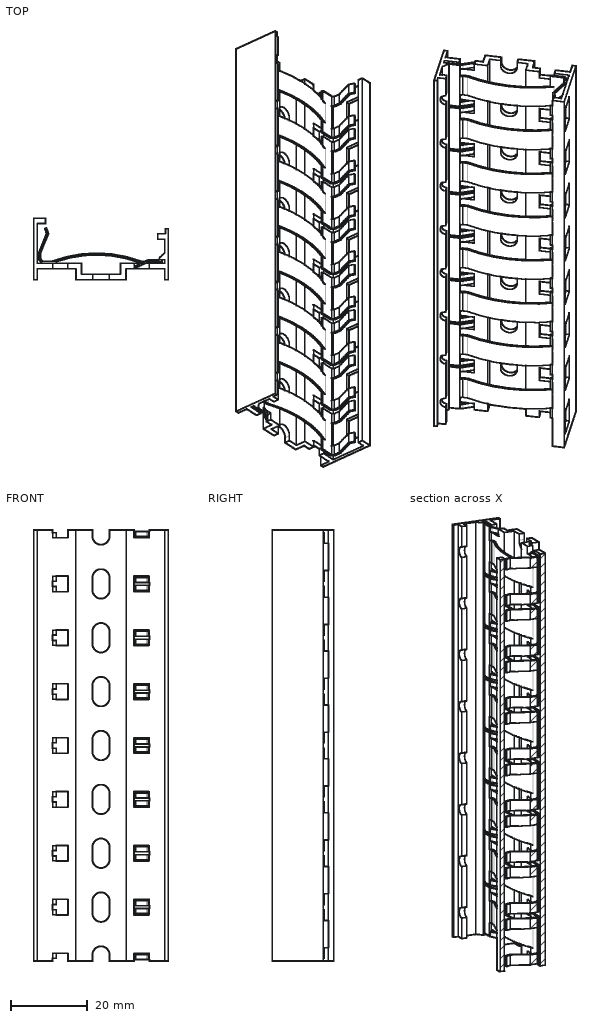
import cadquery as cq
import math

LENGTH = 112.0
WIDTH = 35.0
DEPTH = 16.0
PITCH = 14.0
BAYS = round(LENGTH / PITCH)
HALF_WIDTH = WIDTH / 2

SIDE_WALL = 1.0
WEB = 1.5
WEB_BOTTOM = 2.85
WEB_TOP = WEB_BOTTOM + WEB
CHANNEL_OUTER_HALF = 6.55
CHANNEL_INNER_HALF = CHANNEL_OUTER_HALF - WEB
LIP_THICKNESS = 1.4
LIP_REACH = 3.1
RIGHT_WALL_TOP = 13.3
RIGHT_TIP_WALL = 0.8
LEDGE_TOP = 12.0
LEDGE_BOTTOM = 10.5
LEDGE_REACH = 2.8
CATCH_TOP = 7.0
CATCH_REACH = 2.4
CATCH_NOSE_TOP = 5.6

SLOT_WIDTH = 4.4
SLOT_LENGTH = 7.6
HOLE_SIZE = 4.0
HOLE_OFFSET = 10.6
WINDOW_HEIGHT = 7.0
WINDOW_TOP = DEPTH - LIP_THICKNESS
WINDOW_DEPTH = 5.7
NOTCH_RADIUS = 1.4

SHEET = 0.5
SHEET_MID = WEB_TOP + SHEET / 2
LEFT_GAP = 1.35
HOOK_GAP = 0.7
HOOK_WIDTH = 1.35
ARCH_WIDTH = 6.0
ARCH_LEFT = -12.6
ARCH_RIGHT = 10.3
ARCH_RISE = 2.1
FOOT_START = 11.6
FOOT_RAMP_END = 12.3
FOOT_END = 15.9
FOOT_LIFT = 0.3
FOOT_TOP = WEB_TOP + FOOT_LIFT + SHEET
HOOK_TIP = (8.9, 3.3)
LEFT_STRIP_END = -11.6
LEG_CORNER = (-15.3, SHEET_MID)
LEG_HEEL = (-15.9, 5.3)
LEG_KNEE = (-15.9, 7.1)
LEG_TOE = (-13.9, 12.0)
LEG_TIP = (-14.4, 13.4)

HOLE_LEVELS = [i * PITCH - LENGTH / 2 for i in range(BAYS + 1)]
BAY_LEVELS = [(i + 0.5) * PITCH - LENGTH / 2 for i in range(BAYS)]


def box(x0, x1, y0, y1, z0, z1):
    """Block between two opposite corners."""
    return cq.Workplane("XY").box(x1 - x0, y1 - y0, z1 - z0, centered=False).translate((x0, y0, z0))


def rail_profile():
    """Solid of the rail cross-section over its whole length, without openings."""
    points = [
        (-HALF_WIDTH, 0),
        (-HALF_WIDTH + SIDE_WALL, 0),
        (-HALF_WIDTH + SIDE_WALL, WEB_BOTTOM),
        (-CHANNEL_OUTER_HALF, WEB_BOTTOM),
        (-CHANNEL_OUTER_HALF, 0),
        (CHANNEL_OUTER_HALF, 0),
        (CHANNEL_OUTER_HALF, WEB_BOTTOM),
        (HALF_WIDTH - SIDE_WALL, WEB_BOTTOM),
        (HALF_WIDTH - SIDE_WALL, 0),
        (HALF_WIDTH, 0),
        (HALF_WIDTH, RIGHT_WALL_TOP),
        (HALF_WIDTH - RIGHT_TIP_WALL, RIGHT_WALL_TOP),
        (HALF_WIDTH - RIGHT_TIP_WALL, LEDGE_TOP),
        (HALF_WIDTH - LEDGE_REACH, LEDGE_TOP),
        (HALF_WIDTH - LEDGE_REACH, LEDGE_BOTTOM),
        (HALF_WIDTH - SIDE_WALL, LEDGE_BOTTOM),
        (HALF_WIDTH - SIDE_WALL, CATCH_TOP),
        (HALF_WIDTH - CATCH_REACH, CATCH_NOSE_TOP),
        (HALF_WIDTH - CATCH_REACH, FOOT_TOP),
        (HALF_WIDTH - SIDE_WALL, FOOT_TOP),
        (HALF_WIDTH - SIDE_WALL, WEB_TOP),
        (CHANNEL_INNER_HALF, WEB_TOP),
        (CHANNEL_INNER_HALF, WEB),
        (-CHANNEL_INNER_HALF, WEB),
        (-CHANNEL_INNER_HALF, WEB_TOP),
        (-HALF_WIDTH + SIDE_WALL, WEB_TOP),
        (-HALF_WIDTH + SIDE_WALL, DEPTH - LIP_THICKNESS),
        (-HALF_WIDTH + LIP_REACH, DEPTH - LIP_THICKNESS),
        (-HALF_WIDTH + LIP_REACH, DEPTH),
        (-HALF_WIDTH, DEPTH),
    ]
    return cq.Workplane("XY").polyline(points).close().extrude(LENGTH).translate((0, 0, -LENGTH / 2))


def web_openings():
    """Centre slots and the square holes on both sides; the end rows run out of the rail."""
    plane = cq.Workplane("XZ")
    slot_places = [(0, z) for z in HOLE_LEVELS]
    hole_places = [(side * HOLE_OFFSET, z) for side in (-1, 1) for z in HOLE_LEVELS]
    slots = plane.pushPoints(slot_places).slot2D(SLOT_LENGTH, SLOT_WIDTH, 90).extrude(-WEB_TOP)
    holes = plane.pushPoints(hole_places).rect(HOLE_SIZE, HOLE_SIZE).extrude(-WEB_TOP)
    return slots.union(holes)


def window(z):
    """Rectangular window through the left side wall."""
    half = WINDOW_HEIGHT / 2
    inner = -HALF_WIDTH + SIDE_WALL
    return box(-HALF_WIDTH, inner, WINDOW_TOP - WINDOW_DEPTH, WINDOW_TOP, z - half, z + half)


def ledge_notch(z):
    """Half-round notch in the edge of the ledge on the right side wall."""
    notch = cq.Workplane("XZ").circle(NOTCH_RADIUS).extrude(LEDGE_BOTTOM - LEDGE_TOP)
    return notch.translate((HALF_WIDTH - LEDGE_REACH, LEDGE_BOTTOM, z))


def bent_strip(path, z0, z1):
    """Sheet of constant thickness bent along a path in XY, with mitred bends."""
    normals = []
    for (xa, ya), (xb, yb) in zip(path, path[1:]):
        run = math.hypot(xb - xa, yb - ya)
        normals.append(((ya - yb) / run, (xb - xa) / run))
    upper = []
    lower = []
    for (x, y), (ax, ay), (bx, by) in zip(path, normals[:1] + normals, normals + normals[-1:]):
        scale = SHEET / (1 + ax * bx + ay * by)
        dx = (ax + bx) * scale / 2
        dy = (ay + by) * scale / 2
        upper.append((x + dx, y + dy))
        lower.append((x - dx, y - dy))
    return cq.Workplane("XY").polyline(upper + lower[::-1]).close().extrude(z1 - z0).translate((0, 0, z0))


def clip_arch(z):
    """Arched bridge over the channel, running from the leg corners to the right foot."""
    middle = (ARCH_LEFT + ARCH_RIGHT) / 2
    top = WEB_TOP + SHEET
    outline = (
        cq.Workplane("XY")
        .moveTo(LEG_CORNER[0], WEB_TOP)
        .lineTo(ARCH_LEFT, WEB_TOP)
        .threePointArc((middle, WEB_TOP + ARCH_RISE), (ARCH_RIGHT, WEB_TOP))
        .lineTo(FOOT_START, WEB_TOP)
        .lineTo(FOOT_START, top)
        .lineTo(ARCH_RIGHT, top)
        .threePointArc((middle, top + ARCH_RISE), (ARCH_LEFT, top))
        .lineTo(LEG_CORNER[0], top)
        .close()
    )
    return outline.extrude(ARCH_WIDTH).translate((0, 0, z - ARCH_WIDTH / 2))


def clip(z):
    """Spring clip of one bay: arch, two legs on the left, a foot with two hooks on the right."""
    left_end = (PITCH - LEFT_GAP) / 2
    right_end = (PITCH - HOOK_GAP) / 2
    lifted = SHEET_MID + FOOT_LIFT
    leg_start = WINDOW_HEIGHT / 2
    hook_start = right_end - HOOK_WIDTH
    half_arch = ARCH_WIDTH / 2
    left_strip = [LEG_CORNER, (LEFT_STRIP_END, SHEET_MID)]
    leg = [(LEFT_STRIP_END, SHEET_MID), LEG_CORNER, LEG_HEEL, LEG_KNEE, LEG_TOE, LEG_TIP]
    foot = [(FOOT_START, SHEET_MID), (FOOT_RAMP_END, lifted), (FOOT_END, lifted)]
    hook = [HOOK_TIP] + foot[:2]
    body = clip_arch(z)
    body = body.union(bent_strip(left_strip, z - left_end, z + left_end))
    body = body.union(bent_strip([(ARCH_RIGHT, SHEET_MID)] + foot, z - half_arch, z + half_arch))
    body = body.union(bent_strip(foot[1:], z - right_end, z + right_end))
    for low, high in ((leg_start, left_end), (-left_end, -leg_start)):
        body = body.union(bent_strip(leg, z + low, z + high))
    for low, high in ((hook_start, right_end), (-right_end, -hook_start)):
        body = body.union(bent_strip(hook, z + low, z + high))
    return body


result = rail_profile().cut(web_openings())
for level in BAY_LEVELS:
    result = result.cut(window(level)).cut(ledge_notch(level)).union(clip(level))